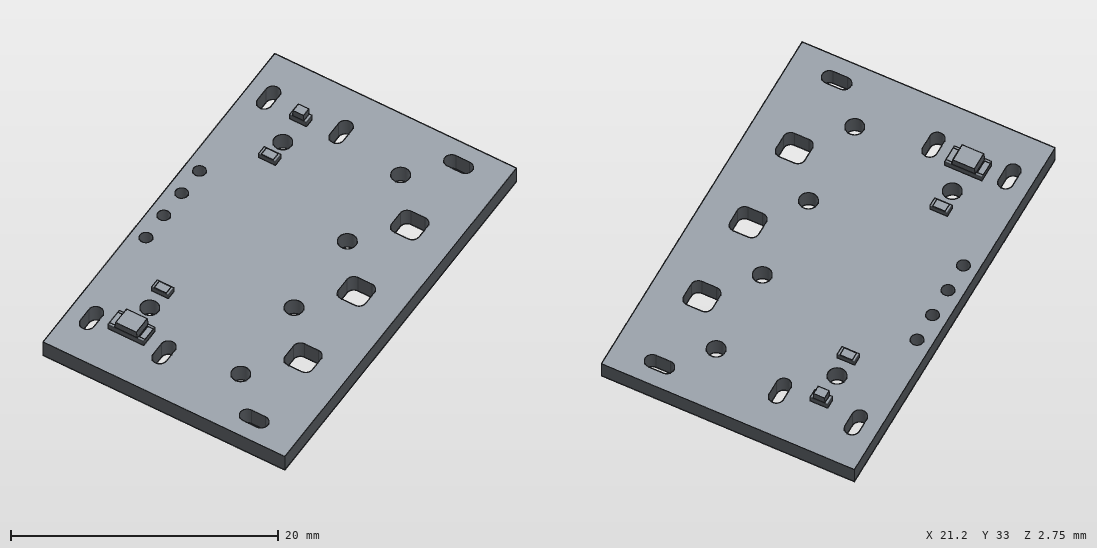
import cadquery as cq
BOARD_WIDTH = 21.25
BOARD_LENGTH = 33.02
BOARD_THICKNESS = 1.6
OVERALL_HEIGHT = 2.75

COMPONENT_LINE_X = -5.58

LARGE_HOLE_DIAMETER = 1.5
LARGE_HOLE_COLUMN_X = 3.6
LARGE_HOLE_PITCH = 7.6
COMPONENT_HOLE_Y = 9.48
SMALL_HOLE_DIAMETER = 1.02
SMALL_HOLE_COLUMN_X = -9.4
SMALL_HOLE_PITCH = 2.55
HOLES_PER_COLUMN = 4

SLOT_LENGTH = 2.4
SLOT_WIDTH = 1.2
LONG_SLOT_SPACING_X = 6.37
LONG_SLOT_Y = 12.6
WINDOW_COLUMN_X = 6.75
WINDOW_COUNT = 3
WINDOW_PITCH = LARGE_HOLE_PITCH
WINDOW_SIZE = SLOT_LENGTH
WINDOW_CORNER_RADIUS = SLOT_WIDTH / 2
CROSS_SLOT_Y = 14.55

STANDOFF = 0.03
EDGE_ROUNDING = 0.03
COMPONENT_BASE_Z = BOARD_THICKNESS + STANDOFF

CHIP_LENGTH = 1.5
CHIP_WIDTH = 0.83
CHIP_Y = 7.63
CHIP_TERMINAL_HEIGHT = 0.45
CHIP_TERMINAL_LENGTH = 0.215
CHIP_CORE_RISE = 0.03
CHIP_CORE_INSET = 0.05

LED_BASE_HEIGHT = 0.53
LENS_HEIGHT = OVERALL_HEIGHT - COMPONENT_BASE_Z - LED_BASE_HEIGHT

SMALL_LED_Y = 12.05
SMALL_LED_LENGTH = CHIP_LENGTH
SMALL_LED_WIDTH = CHIP_WIDTH
SMALL_LENS_BOTTOM_LENGTH = 1.0
SMALL_LENS_TOP_LENGTH = 0.92

LARGE_LED_Y = -12.1
LARGE_LED_LENGTH = 3.15
LARGE_LED_WIDTH = 1.62
LARGE_LENS_BOTTOM_LENGTH = 2.0
LARGE_LENS_TOP_LENGTH = 1.8
PAD_LENGTH = 0.5
PAD_WIDTH = 1.2
PAD_DEPTH = 0.015


def hole_column(x, pitch, count):
    """Points in a column parallel to Y, centred on Y = 0."""
    return [(x, (i - (count - 1) / 2) * pitch) for i in range(count)]


def round_holes(points, diameter):
    return cq.Workplane("XY").pushPoints(points).circle(diameter / 2).extrude(BOARD_THICKNESS)


def slots(points, angle):
    outline = cq.Workplane("XY").pushPoints(points).slot2D(SLOT_LENGTH, SLOT_WIDTH, angle)
    return outline.extrude(BOARD_THICKNESS)


def square_windows(points):
    outline = cq.Workplane("XY").pushPoints(points).rect(WINDOW_SIZE, WINDOW_SIZE)
    return outline.extrude(BOARD_THICKNESS).edges("|Z").fillet(WINDOW_CORNER_RADIUS)


def upright_box(length, width, height):
    """Box centred on X and Y, standing on Z = 0."""
    return cq.Workplane("XY").box(length, width, height, centered=(True, True, False))


def make_board():
    large_points = hole_column(LARGE_HOLE_COLUMN_X, LARGE_HOLE_PITCH, HOLES_PER_COLUMN)
    large_points += [(COMPONENT_LINE_X, side * COMPONENT_HOLE_Y) for side in (-1, 1)]
    small_points = hole_column(SMALL_HOLE_COLUMN_X, SMALL_HOLE_PITCH, HOLES_PER_COLUMN)
    window_points = hole_column(WINDOW_COLUMN_X, WINDOW_PITCH, WINDOW_COUNT)
    cross_slot_points = [(WINDOW_COLUMN_X, side * CROSS_SLOT_Y) for side in (-1, 1)]
    long_slot_points = [
        (COMPONENT_LINE_X + side_x * LONG_SLOT_SPACING_X / 2, side_y * LONG_SLOT_Y)
        for side_x in (-1, 1)
        for side_y in (-1, 1)
    ]
    return (
        upright_box(BOARD_WIDTH, BOARD_LENGTH, BOARD_THICKNESS)
        .cut(round_holes(large_points, LARGE_HOLE_DIAMETER))
        .cut(round_holes(small_points, SMALL_HOLE_DIAMETER))
        .cut(slots(long_slot_points, 90))
        .cut(slots(cross_slot_points, 0))
        .cut(square_windows(window_points))
    )


def place(component, y):
    """Move a component modelled at the origin to its place above the board."""
    return component.translate((COMPONENT_LINE_X, y, COMPONENT_BASE_Z))


def rounded_base(length, width, height):
    return upright_box(length, width, height).edges().fillet(EDGE_ROUNDING)


def make_chip():
    terminals = rounded_base(CHIP_LENGTH, CHIP_WIDTH, CHIP_TERMINAL_HEIGHT)
    core = upright_box(
        CHIP_LENGTH - 2 * CHIP_TERMINAL_LENGTH,
        CHIP_WIDTH - 2 * CHIP_CORE_INSET,
        CHIP_TERMINAL_HEIGHT + CHIP_CORE_RISE,
    )
    return terminals.union(core)


def make_led(length, width, lens_bottom_length, lens_top_length):
    """LED whose lens stands on the flat top of the base, between its rounded long edges."""
    base = rounded_base(length, width, LED_BASE_HEIGHT)
    lens_width = width - 2 * EDGE_ROUNDING
    lens = (
        cq.Workplane("XZ", origin=(0, lens_width / 2, LED_BASE_HEIGHT))
        .moveTo(-lens_bottom_length / 2, 0)
        .lineTo(lens_bottom_length / 2, 0)
        .lineTo(lens_top_length / 2, LENS_HEIGHT)
        .lineTo(-lens_top_length / 2, LENS_HEIGHT)
        .close()
        .extrude(lens_width)
    )
    return base.union(lens)


def pad_recesses():
    """Shallow recesses in the top of the large LED's base, open at its two ends."""
    pad_x = (LARGE_LED_LENGTH - PAD_LENGTH) / 2
    pad_plane = cq.Workplane("XY", origin=(0, 0, LED_BASE_HEIGHT - PAD_DEPTH))
    outline = pad_plane.pushPoints([(-pad_x, 0), (pad_x, 0)]).rect(PAD_LENGTH, PAD_WIDTH)
    return outline.extrude(PAD_DEPTH)


board = make_board()
chips = [place(make_chip(), side * CHIP_Y) for side in (-1, 1)]
small_led = place(
    make_led(SMALL_LED_LENGTH, SMALL_LED_WIDTH, SMALL_LENS_BOTTOM_LENGTH, SMALL_LENS_TOP_LENGTH),
    SMALL_LED_Y,
)
large_led = place(
    make_led(
        LARGE_LED_LENGTH, LARGE_LED_WIDTH, LARGE_LENS_BOTTOM_LENGTH, LARGE_LENS_TOP_LENGTH
    ).cut(pad_recesses()),
    LARGE_LED_Y,
)

result = cq.Compound.makeCompound(
    [board.val(), *[chip.val() for chip in chips], small_led.val(), large_led.val()]
)